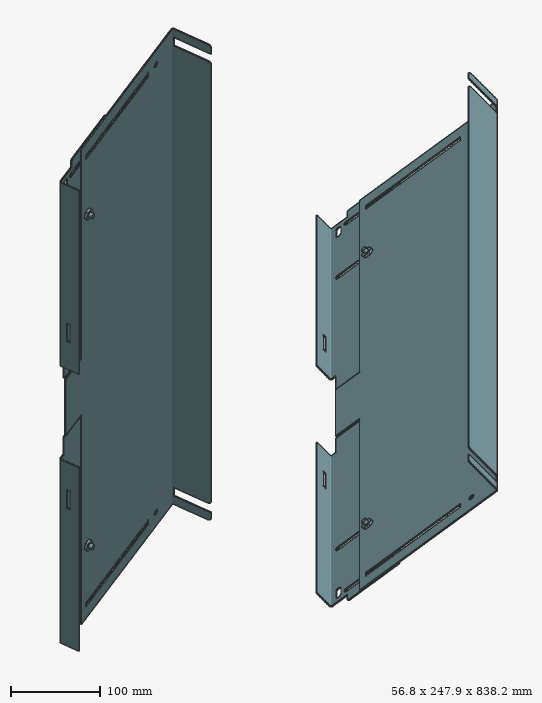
import cadquery as cq
import math


SHEET = 1.52
BEND_RADIUS = 1.1
HEIGHT = 838.2
TOP = HEIGHT / 2
REAR_FACE = 247.92
TOTAL_WIDTH = 56.83
SIDES = (1, -1)

SLOT_WIDTH = 7.14
END_SLOT_INSET = 24.4
BOLT_INSET = 127.0
BOLT_Y = REAR_FACE - 190.5

FRONT_WIDTH = 101.6
FRONT_FLANGE = 25.4
FLANGE_EDGE = FRONT_FLANGE - SHEET
END_STEP_HEIGHT = 13.0
END_STEP_DEPTH = 25.4
STEP_CORNER = 3.0
FRONT_PLATE_CORNER = 2.0
NOTCH_HEIGHT = 165.0
NOTCH_DEPTH = 8.5
SLOT_REAR_END = 92.0
END_SLOT_FRONT_END = 21.0
BOLT_SLOT_FRONT_END = 8.5
HANG_SLOT_LENGTH = 20.0
HANG_SLOT_Y = 12.5
HANG_SLOT_INSET = 31.0
FLANGE_SLOT_LENGTH = 31.5
FLANGE_SLOT_WIDTH = 4.5
FLANGE_SLOT_X = 10.5
FLANGE_SLOT_INSET = 272.0

REAR_WIDTH = 203.2
REAR_FLANGE = 50.8
REAR_PLATE_EDGE = REAR_FACE - REAR_WIDTH
END_TAB_HEIGHT = 14.5
FLANGE_GAP = 15.0
FLANGE_CORNER = 4.0
LONG_SLOT_REAR_END = REAR_FACE - 55.0
LONG_SLOT_FRONT_END = REAR_FACE - 194.0
HOLE_DIAMETER = 7.14
HOLE_Y = REAR_FACE - 38.5

TAB_HEIGHT = 100.0
TAB_FRONT = 9.5
TAB_CLEARANCE = 2.25
WINDOW_HEIGHT = TAB_HEIGHT + 2 * TAB_CLEARANCE

BOLT_DIAMETER = 6.35
BOLT_TAIL = 9.0
HEAD_DIAMETER = 12.7
HEAD_HEIGHT = TOTAL_WIDTH - REAR_FLANGE - SHEET
HEAD_RIM = 2.0
NUT_ACROSS_FLATS = 12.7
NUT_THICKNESS = 3.0


def block(x_range, y_range, z_range):
    """Box between two limits on each axis."""
    low = [min(limits) for limits in (x_range, y_range, z_range)]
    size = [abs(limits[1] - limits[0]) for limits in (x_range, y_range, z_range)]
    return cq.Workplane("XY").box(*size, centered=False).translate(tuple(low))


def centred(middle, length):
    return (middle - length / 2, middle + length / 2)


def slot_cutter(y, z, length, angle=0):
    """Round-ended cutter through the plates, along Y or, turned by 90 degrees, along Z."""
    sketch = cq.Workplane("YZ").center(y, z).slot2D(length, SLOT_WIDTH, angle)
    return sketch.extrude(2 * SHEET, both=True)


def adjusting_slot(front_end, z):
    return slot_cutter((front_end + SLOT_REAR_END) / 2, z, SLOT_REAR_END - front_end)


def hole_cutter(y, z, diameter):
    return cq.Workplane("YZ").center(y, z).circle(diameter / 2).extrude(SHEET)


def round_edge(plate, direction, point, radius):
    """Fillet the edge in the given direction whose middle is nearest the point."""
    return plate.edges("|" + direction).edges(cq.NearestToPointSelector(point)).fillet(radius)


def bend(plate, outer_point, inner_point):
    """Round the outside and inside of a flange bend."""
    plate = round_edge(plate, "Z", outer_point, BEND_RADIUS + SHEET)
    return round_edge(plate, "Z", inner_point, BEND_RADIUS)


def make_front_plate():
    web = block((-SHEET, 0), (0, FRONT_WIDTH), (-TOP, TOP))
    flange = block((-SHEET, FLANGE_EDGE), (0, SHEET), (-TOP, TOP))
    plate = bend(web.union(flange), (-SHEET, 0, 0), (0, SHEET, 0))

    across = (-SHEET, FLANGE_EDGE)
    for side in SIDES:
        end = side * TOP
        step_end = side * (TOP - END_STEP_HEIGHT)
        plate = plate.cut(block(across, (0, END_STEP_DEPTH), (step_end, end)))
        plate = round_edge(plate, "X", (-SHEET / 2, END_STEP_DEPTH, end), STEP_CORNER)
        plate = round_edge(plate, "X", (-SHEET / 2, FRONT_WIDTH, end), FRONT_PLATE_CORNER)

        plate = plate.cut(adjusting_slot(END_SLOT_FRONT_END, side * (TOP - END_SLOT_INSET)))
        plate = plate.cut(adjusting_slot(BOLT_SLOT_FRONT_END, side * (TOP - BOLT_INSET)))
        hang_z = side * (TOP - HANG_SLOT_INSET)
        plate = plate.cut(slot_cutter(HANG_SLOT_Y, hang_z, HANG_SLOT_LENGTH, 90))

        flange_slot_z = centred(side * (TOP - FLANGE_SLOT_INSET), FLANGE_SLOT_LENGTH)
        flange_slot_x = centred(FLANGE_SLOT_X, FLANGE_SLOT_WIDTH)
        plate = plate.cut(block(flange_slot_x, (0, SHEET), flange_slot_z))

    plate = plate.cut(block(across, (0, NOTCH_DEPTH), centred(0, NOTCH_HEIGHT)))
    return plate.cut(block((-SHEET, 0), (0, REAR_PLATE_EDGE), centred(0, WINDOW_HEIGHT)))


def make_rear_plate():
    web = block((0, SHEET), (REAR_PLATE_EDGE, REAR_FACE), (-TOP, TOP))
    flange_y = (REAR_FACE - SHEET, REAR_FACE)
    flange = block((0, REAR_FLANGE), flange_y, (-TOP, TOP))
    plate = bend(web.union(flange), (0, REAR_FACE, 0), (SHEET, REAR_FACE - SHEET, 0))
    plate = plate.union(block((0, SHEET), (TAB_FRONT, REAR_PLATE_EDGE), centred(0, TAB_HEIGHT)))

    flange_middle = REAR_FACE - SHEET / 2
    for side in SIDES:
        tab_end = side * (TOP - END_TAB_HEIGHT)
        main_end = side * (TOP - END_TAB_HEIGHT - FLANGE_GAP)
        plate = plate.cut(block((SHEET + BEND_RADIUS, REAR_FLANGE), flange_y, (main_end, tab_end)))
        for corner_z in (side * TOP, main_end):
            plate = round_edge(plate, "Y", (REAR_FLANGE, flange_middle, corner_z), FLANGE_CORNER)

        slot_z = side * (TOP - END_SLOT_INSET)
        long_slot_y = (LONG_SLOT_FRONT_END, LONG_SLOT_REAR_END)
        plate = plate.cut(block((0, SHEET), long_slot_y, centred(slot_z, SLOT_WIDTH)))
        plate = plate.cut(hole_cutter(HOLE_Y, slot_z, HOLE_DIAMETER))
        plate = plate.cut(hole_cutter(BOLT_Y, side * (TOP - BOLT_INSET), BOLT_DIAMETER))
    return plate


def make_bolt(z):
    """Round-head bolt: shank along X, domed head on the front plate."""
    head_radius = HEAD_DIAMETER / 2
    rim_x = -SHEET - HEAD_RIM
    dome_height = HEAD_HEIGHT - HEAD_RIM
    dome_radius = (head_radius ** 2 + dome_height ** 2) / (2 * dome_height)
    half_angle = math.asin(head_radius / dome_radius) / 2
    dome_centre_x = rim_x - dome_height + dome_radius
    dome_middle = (dome_centre_x - dome_radius * math.cos(half_angle), dome_radius * math.sin(half_angle))
    half_profile = (
        cq.Workplane("XY")
        .moveTo(BOLT_TAIL, 0)
        .lineTo(BOLT_TAIL, BOLT_DIAMETER / 2)
        .lineTo(-SHEET, BOLT_DIAMETER / 2)
        .lineTo(-SHEET, head_radius)
        .lineTo(rim_x, head_radius)
        .threePointArc(dome_middle, (rim_x - dome_height, 0))
        .close()
    )
    return half_profile.revolve(360, (0, 0, 0), (1, 0, 0)).translate((0, BOLT_Y, z))


def make_nut(z):
    """Thin hexagon nut against the back of the rear plate."""
    across_corners = NUT_ACROSS_FLATS / math.cos(math.pi / 6)
    hexagon = cq.Workplane("YZ").workplane(offset=SHEET).polygon(6, across_corners)
    return hexagon.circle(BOLT_DIAMETER / 2).extrude(NUT_THICKNESS).translate((0, BOLT_Y, z))


front_plate = make_front_plate()
rear_plate = make_rear_plate()
bolt_heights = [side * (TOP - BOLT_INSET) for side in SIDES]
bolts = [make_bolt(z) for z in bolt_heights]
nuts = [make_nut(z) for z in bolt_heights]

result = cq.Compound.makeCompound(
    [
        front_plate.val(),
        rear_plate.val(),
        *[bolt.val() for bolt in bolts],
        *[nut.val() for nut in nuts],
    ]
)